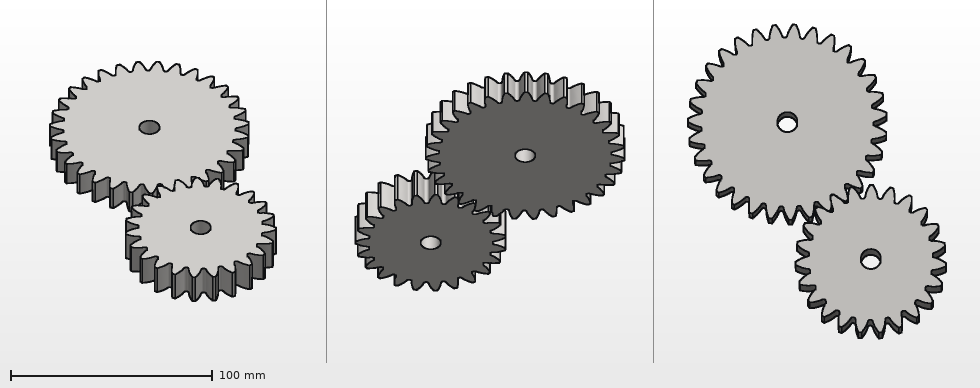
import cadquery as cq
import math

OVERALL_LENGTH = 167.8
WHEEL_TEETH = 31
PINION_TEETH = 23
WHEEL_THICKNESS = 13.0
PINION_THICKNESS = 16.0
BORE_DIAMETER = 10.0

PRESSURE_ANGLE = math.radians(25)
ADDENDUM_RATIO = 1.0
CLEARANCE_RATIO = 0.25
DEDENDUM_RATIO = ADDENDUM_RATIO + CLEARANCE_RATIO
WHEEL_ROOT_RATIO = 0.3
PINION_ROOT_RATIO = 0.35
FLANK_POINTS = 7


def polar(radius, angle):
    return (radius * math.cos(angle), radius * math.sin(angle))


def involute(angle):
    return math.tan(angle) - angle


def half_tooth_angle(pitch_ratio, teeth):
    """Angle from the tooth centre line to its flank, at a radius of pitch_ratio x pitch radius."""
    flank_angle = math.acos(math.cos(PRESSURE_ANGLE) / pitch_ratio)
    return math.pi / (2 * teeth) + involute(PRESSURE_ANGLE) - involute(flank_angle)


def tip_ratio(teeth):
    """Tip radius as a multiple of the pitch radius."""
    return 1 + 2 * ADDENDUM_RATIO / teeth


def module_for_length(length):
    """Module that makes the meshed pair this long, from the outer wheel tooth to the pinion tips.

    The pinion's far end is a tooth space on the X axis, so its reach ends at the tip corners
    on either side of that space.
    """
    wheel_reach = WHEEL_TEETH / 2 + ADDENDUM_RATIO
    centre_distance = (WHEEL_TEETH + PINION_TEETH) / 2
    corner_angle = math.pi / PINION_TEETH - half_tooth_angle(tip_ratio(PINION_TEETH), PINION_TEETH)
    pinion_reach = (PINION_TEETH / 2 + ADDENDUM_RATIO) * math.cos(corner_angle)
    return length / (wheel_reach + centre_distance + pinion_reach)


MODULE = module_for_length(OVERALL_LENGTH)
CENTRE_DISTANCE = MODULE * (WHEEL_TEETH + PINION_TEETH) / 2


def make_gear(teeth, thickness, root_ratio):
    """Spur gear about the Z axis, centred on Z = 0, with one tooth pointing along -X."""
    pitch_radius = teeth * MODULE / 2
    tip_radius = pitch_radius * tip_ratio(teeth)
    root_radius = pitch_radius - DEDENDUM_RATIO * MODULE
    flank_start = root_radius + root_ratio * MODULE
    flank_step = (tip_radius - flank_start) / (FLANK_POINTS - 1)
    radii = [flank_start + i * flank_step for i in range(FLANK_POINTS)]
    half_angles = [half_tooth_angle(radius / pitch_radius, teeth) for radius in radii]
    flank = list(zip(radii, half_angles))
    tooth_pitch = 2 * math.pi / teeth

    outline = cq.Workplane("XY").workplane(offset=-thickness / 2)
    outline = outline.moveTo(*polar(flank_start, math.pi - half_angles[0]))
    for tooth in range(teeth):
        centre = math.pi + tooth * tooth_pitch
        rising = [polar(radius, centre - angle) for radius, angle in flank]
        falling = [polar(radius, centre + angle) for radius, angle in reversed(flank)]
        next_start = polar(flank_start, centre + tooth_pitch - half_angles[0])
        outline = (
            outline.spline(rising[1:], includeCurrent=True)
            .threePointArc(polar(tip_radius, centre), falling[0])
            .spline(falling[1:], includeCurrent=True)
            .threePointArc(polar(root_radius, centre + tooth_pitch / 2), next_start)
        )
    blank = outline.close().extrude(thickness)
    bore = cq.Workplane("XY").circle(BORE_DIAMETER / 2).extrude(thickness, both=True)
    return blank.cut(bore).solids()


wheel = make_gear(WHEEL_TEETH, WHEEL_THICKNESS, WHEEL_ROOT_RATIO)
pinion = make_gear(PINION_TEETH, PINION_THICKNESS, PINION_ROOT_RATIO).translate((CENTRE_DISTANCE, 0, 0))

result = cq.Compound.makeCompound([wheel.val(), pinion.val()])